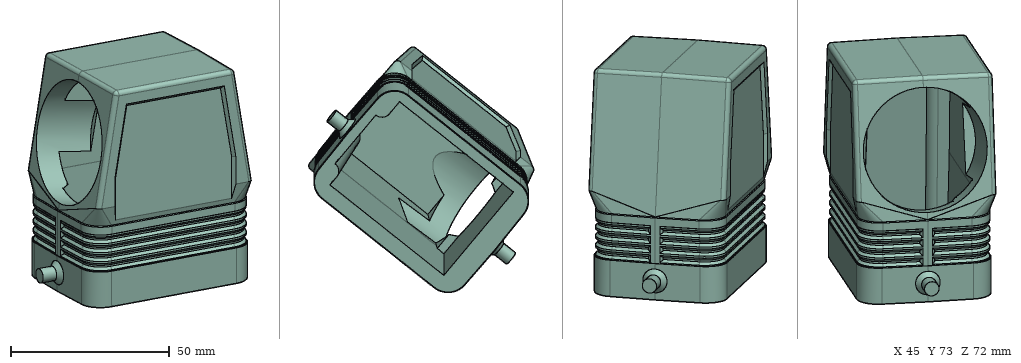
import cadquery as cq
import math

total_height = 72.0
pin_span = 73.0

base_half_x = 21.6
base_half_y = 30.1
base_height = 12.0
base_corner = 7.0
base_bottom_chamfer = 0.2

band_half_x = 21.3
band_half_y = 29.85
band_corner = 7.15
band_top = 27.1
band_top_chamfer = 0.3

lower_ridge_rise = 0.45

groove_count = 4
groove_pitch = 3.0
groove_floor_height = 0.6
groove_depth = 0.9
groove_lowest_z = 13.5
groove_web_half_width = 1.5
groove_step_top = 24.15
groove_step_depth = 0.15

hood_half_x = 22.5
shoulder_z = 33.65
shoulder_half_y = 28.25
front_tilt = 9.7
ridge_draft = 0.6
hood_edge_radius = 1.45
shoulder_corner = 1.5

panel_depth = 1.1
panel_wall_angle = 40.0
panel_top_z = 67.1
panel_bend_z = 42.8
panel_top_half_y = 17.8
panel_bend_half_y = 22.05

pin_radius = 2.3
pin_z = 6.35
pin_collar_radius = 3.9

opening_radius = 19.9
opening_z = 49.0
opening_depth = 20.15

cavity_top = 65.8
cavity_left = 18.25
cavity_right = 16.5
cavity_top_half_y = 15.8
cavity_shoulder_half_y = 19.65
cavity_side_inset = 0.45
relief_top_z = 30.9
relief_bottom_z = 30.45
relief_y = 22.6
recess_half_x = 10.15
recess_top_inset = 0.95
recess_depth = 3.1

tilt_slope = math.tan(math.radians(front_tilt))
ridge_half_y = shoulder_half_y + hood_half_x * math.tan(math.radians(ridge_draft))


def ridged_outline(half_x, half_y, corner, ridge_rise):
    """Rounded rectangle whose Y sides rise to half_y at X = 0 and drop by ridge_rise at the ends."""
    end_y = half_y - ridge_rise
    points = [
        (0, -half_y),
        (half_x, -end_y),
        (half_x, end_y),
        (0, half_y),
        (-half_x, end_y),
        (-half_x, -end_y),
        (0, -half_y),
    ]
    return cq.Sketch().polygon(points).vertices("<X or >X").fillet(corner)


def rounded_block(half_x, half_y, corner, z_low, z_high):
    """Upright block with rounded vertical edges and ridged Y faces."""
    outline = ridged_outline(half_x, half_y, corner, lower_ridge_rise)
    return cq.Workplane("XY").workplane(offset=z_low).placeSketch(outline).extrude(z_high - z_low)


def make_base():
    base = rounded_block(base_half_x, base_half_y, base_corner, 0, base_height)
    return base.faces("<Z").edges().chamfer(base_bottom_chamfer)


def band_ring(inset, z_low, z_high):
    """Ring from the given inset inside the band's outline to well outside the band."""
    margin = 2.2
    ring = (
        cq.Workplane("XY")
        .workplane(offset=z_low)
        .rect(2 * (band_half_x + margin), 2 * (band_half_y + margin))
        .extrude(z_high - z_low)
    )
    core = rounded_block(band_half_x - inset, band_half_y - inset, band_corner - inset, z_low, z_high)
    return ring.cut(core)


def groove_cutter(z):
    """Ring that leaves a groove with 45 degree sides, centred on height z."""
    half_floor = groove_floor_height / 2
    half_opening = half_floor + groove_depth
    cutter = band_ring(groove_depth, z - half_opening, z + half_opening)
    floor_outline = ridged_outline(
        band_half_x - groove_depth, band_half_y - groove_depth, band_corner - groove_depth, lower_ridge_rise
    )
    upper_flare = (
        cq.Workplane("XY")
        .workplane(offset=z + half_floor)
        .placeSketch(floor_outline)
        .extrude(groove_depth, taper=-45)
    )
    lower_flare = upper_flare.mirror("XY", (0, 0, z))
    return cutter.cut(upper_flare).cut(lower_flare)


def make_web():
    """Bar across the middle of both Y faces that stops the grooves, widening 45 degrees inwards."""
    root_half_width = groove_web_half_width + groove_depth
    root_y = band_half_y - groove_depth
    return (
        cq.Workplane("XY")
        .workplane(offset=base_height)
        .polyline(
            [
                (-groove_web_half_width, -band_half_y),
                (groove_web_half_width, -band_half_y),
                (root_half_width, -root_y),
                (root_half_width, root_y),
                (groove_web_half_width, band_half_y),
                (-groove_web_half_width, band_half_y),
                (-root_half_width, root_y),
                (-root_half_width, -root_y),
            ]
        )
        .close()
        .extrude(band_top - base_height)
    )


def make_band():
    plain = rounded_block(band_half_x, band_half_y, band_corner, base_height, band_top)
    top_groove_z = groove_lowest_z + (groove_count - 1) * groove_pitch
    band = plain.cut(band_ring(groove_step_depth, top_groove_z, groove_step_top))
    for index in range(groove_count):
        band = band.cut(groove_cutter(groove_lowest_z + index * groove_pitch))
    band = band.union(plain.intersect(make_web()))
    return band.faces(">Z").edges().chamfer(band_top_chamfer)


def make_transition():
    """Straight-sided blend from the band's outline out to the hood's shoulder."""
    lower_x = band_half_x - band_top_chamfer
    lower_y = band_half_y - band_top_chamfer
    lower = ridged_outline(lower_x, lower_y, band_corner - band_top_chamfer, lower_ridge_rise)
    upper = ridged_outline(hood_half_x, shoulder_half_y, shoulder_corner, 0)
    return (
        cq.Workplane("XY")
        .placeSketch(
            lower.moved(cq.Location(cq.Vector(0, 0, band_top))),
            upper.moved(cq.Location(cq.Vector(0, 0, shoulder_z))),
        )
        .loft(ruled=True)
    )


def make_hood():
    """Two halves drafted away from a shallow ridge in the middle plane X = 0."""
    low_z = base_height
    low_y = ridge_half_y + (shoulder_z - low_z) * tilt_slope
    top_y = ridge_half_y - (total_height - shoulder_z) * tilt_slope
    half = (
        cq.Workplane("YZ")
        .polyline([(-low_y, low_z), (low_y, low_z), (top_y, total_height), (-top_y, total_height)])
        .close()
        .extrude(hood_half_x, taper=ridge_draft)
    )
    half = half.faces(">X or >Z").edges("not (<Z or <X)").fillet(hood_edge_radius)
    return half.union(half.mirror("YZ"))


def make_body():
    """Hood above the shoulder, with a wedge of each end face reaching down to the band."""
    corner_x = hood_half_x - shoulder_corner
    kept_hood = (
        cq.Workplane("XZ")
        .moveTo(0, band_top)
        .lineTo(corner_x, shoulder_z)
        .lineTo(hood_half_x, shoulder_z)
        .lineTo(hood_half_x, total_height)
        .lineTo(-hood_half_x, total_height)
        .lineTo(-hood_half_x, shoulder_z)
        .lineTo(-corner_x, shoulder_z)
        .close()
        .extrude(pin_span / 2, both=True)
    )
    hood = make_hood().intersect(kept_hood)
    return make_base().union(make_band()).union(make_transition()).union(hood)


def panel_cutter():
    """Sloped-wall recess in the -X side that runs out through the transition below."""
    outline = [
        (-panel_bend_half_y, band_top - panel_depth),
        (-panel_bend_half_y, panel_bend_z),
        (-panel_top_half_y, panel_top_z),
        (panel_top_half_y, panel_top_z),
        (panel_bend_half_y, panel_bend_z),
        (panel_bend_half_y, band_top - panel_depth),
    ]
    return (
        cq.Workplane("YZ")
        .workplane(offset=-hood_half_x)
        .polyline(outline)
        .close()
        .extrude(panel_depth, taper=panel_wall_angle)
    )


def make_pin():
    """Locking pin along -Y with a 45 degree collar at its root."""
    collar_length = pin_collar_radius - pin_radius
    embed = 0.7
    root_y = base_half_y - embed
    return (
        cq.Workplane("XY")
        .moveTo(0, -root_y)
        .lineTo(pin_collar_radius + embed, -root_y)
        .lineTo(pin_radius, -base_half_y - collar_length)
        .lineTo(pin_radius, -pin_span / 2)
        .lineTo(0, -pin_span / 2)
        .close()
        .revolve(360, (0, 0), (0, 1))
        .translate((0, 0, pin_z))
    )


def opening_cutter():
    """Cylinder square to the -Y end face of the hood."""
    tilt = math.radians(front_tilt)
    face_y = -(ridge_half_y - (opening_z - shoulder_z) * tilt_slope)
    inward = cq.Vector(0, math.cos(tilt), -math.sin(tilt))
    lead_in = 3.65
    start = cq.Vector(0, face_y, opening_z) - inward * lead_in
    return cq.Workplane(cq.Solid.makeCylinder(opening_radius, opening_depth + lead_in, start, inward))


def recess_outline(z, wall_y, inset):
    """Outline at height z of a recess with round shoulders in the cavity's +Y wall."""
    half_x = recess_half_x - inset
    bend = recess_depth * (1 - math.sqrt(0.5))
    outline = (
        cq.Workplane("XY")
        .workplane(offset=z)
        .moveTo(half_x + recess_depth, wall_y)
        .threePointArc((half_x + bend, wall_y + bend), (half_x, wall_y + recess_depth))
        .lineTo(-half_x, wall_y + recess_depth)
        .threePointArc((-half_x - bend, wall_y + bend), (-half_x - recess_depth, wall_y))
        .lineTo(-half_x - recess_depth, 0)
        .lineTo(half_x + recess_depth, 0)
        .close()
    )
    return outline.wires().val()


def make_cavity():
    """Cavity with leaning Y walls, side walls drafted above the shoulder and a recess at +Y."""
    lean = (cavity_shoulder_half_y - cavity_top_half_y) / (cavity_top - shoulder_z)
    foot_y = cavity_shoulder_half_y + lean * shoulder_z
    relief_start_y = cavity_shoulder_half_y + lean * (shoulder_z - relief_top_z)
    length_profile = (
        cq.Workplane("YZ")
        .polyline(
            [
                (-relief_y, 0),
                (foot_y, 0),
                (cavity_top_half_y, cavity_top),
                (-cavity_top_half_y, cavity_top),
                (-relief_start_y, relief_top_z),
                (-relief_y, relief_bottom_z),
            ]
        )
        .close()
        .extrude(hood_half_x, both=True)
    )
    width_profile = (
        cq.Workplane("XZ")
        .polyline(
            [
                (-cavity_left, 0),
                (cavity_right, 0),
                (cavity_right, shoulder_z),
                (cavity_right - cavity_side_inset, cavity_top),
                (-cavity_left + cavity_side_inset, cavity_top),
                (-cavity_left, shoulder_z),
            ]
        )
        .close()
        .extrude(pin_span / 2, both=True)
    )
    recess_foot = recess_outline(0, foot_y, 0)
    recess_head = recess_outline(cavity_top, cavity_top_half_y, recess_top_inset)
    recess = cq.Workplane(cq.Solid.makeLoft([recess_foot, recess_head], True))
    return length_profile.intersect(width_profile).union(recess)


panel = panel_cutter()
pin = make_pin()
result = (
    make_body()
    .cut(panel)
    .cut(panel.mirror("YZ"))
    .cut(make_cavity())
    .cut(opening_cutter())
    .union(pin)
    .union(pin.mirror("XZ"))
)